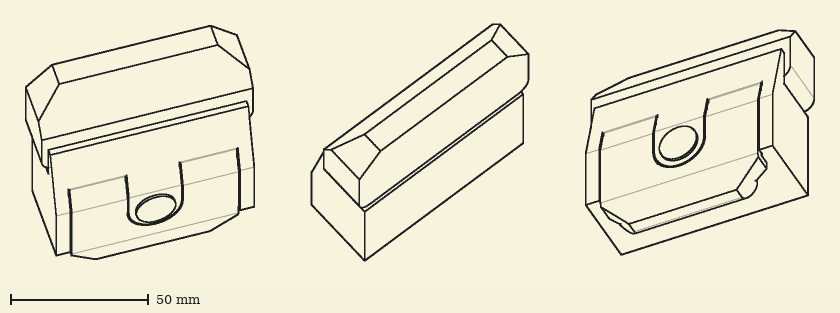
import cadquery as cq

total_height = 89.0

head_width = 80.0
head_depth = 20.2
head_height = 35.0
head_top_depth = 9.0
head_bevel_drop = 16.0
head_corner_chamfer = 10.0
head_corner_radius = 5.0

body_width = 75.0
body_depth = 30.0
body_bottom = 12.9
body_shelf = 51.0
body_top = 65.95
body_top_depth = 22.6
taper_bottom = 38.0

button_radius = 7.5
button_height = 1.0
button_z = 28.0

clearance = 0.5
latch_width = 63.2
latch_recess_front = 27.2
latch_front = 22.5
latch_taper_top = 11.75
latch_bottom_depth = 27.0
latch_corner_chamfer = 10.0
hook_radius = 2.9
tongue_half_width = 10.0


def extrude_profile(points, width):
    """Extrude an XZ outline symmetrically about the plane Y = 0."""
    return cq.Workplane("XZ").polyline(points).close().extrude(width / 2, both=True)


def box_between(x_range, y_range, z_range):
    """Make a box from its limits along the three axes."""
    limits = (x_range, y_range, z_range)
    sizes = [high - low for low, high in limits]
    start = tuple(low for low, high in limits)
    return cq.Workplane("XY").box(*sizes, centered=False).translate(start)


def back_u_shape(half_width):
    """Make a round-bottomed upright shape, concentric with the button, through the recess depth."""
    depth = body_depth - latch_recess_front
    upright = box_between(
        (latch_recess_front, body_depth), (-half_width, half_width), (button_z, body_top)
    )
    round_end = (
        cq.Workplane("YZ", origin=(latch_recess_front, 0, button_z)).circle(half_width).extrude(depth)
    )
    return upright.union(round_end)


def make_head():
    outline = [
        (0, total_height - head_height),
        (0, total_height),
        (head_top_depth, total_height),
        (head_depth, total_height - head_bevel_drop),
        (head_depth, total_height - head_height),
    ]
    half_width = head_width / 2
    corner_z = total_height - head_corner_chamfer
    face = (
        cq.Workplane("YZ")
        .moveTo(-half_width, total_height - head_height)
        .lineTo(half_width, total_height - head_height)
        .lineTo(half_width, corner_z)
        .lineTo(half_width - head_corner_chamfer, total_height)
        .lineTo(head_corner_chamfer - half_width, total_height)
        .lineTo(-half_width, corner_z)
        .close()
        .extrude(head_depth)
    )
    bottom_corners = face.faces("<Z").edges("|X")
    return bottom_corners.fillet(head_corner_radius).intersect(extrude_profile(outline, head_width))


def make_body():
    outline = [
        (0, body_bottom),
        (0, body_shelf),
        (head_depth, body_shelf),
        (head_depth, body_top),
        (body_top_depth, body_top),
        (body_depth, taper_bottom),
        (body_depth, body_bottom),
    ]
    recess_half_width = latch_width / 2 + clearance
    recess = box_between(
        (latch_recess_front, body_depth),
        (-recess_half_width, recess_half_width),
        (body_bottom, body_top),
    ).cut(back_u_shape(tongue_half_width))
    return extrude_profile(outline, body_width).cut(recess)


def make_latch():
    arm_taper_bottom = taper_bottom - clearance
    taper_slope = (body_top - taper_bottom) / (body_depth - body_top_depth)
    arm_top = arm_taper_bottom + taper_slope * (body_depth - latch_recess_front)
    outline = [
        (latch_front, 0),
        (latch_front, body_bottom),
        (latch_recess_front, body_bottom),
        (latch_recess_front, arm_top),
        (body_depth, arm_taper_bottom),
        (body_depth, latch_taper_top),
        (latch_bottom_depth, 0),
    ]
    hook = (
        cq.Workplane("XZ", origin=(latch_front, 0, hook_radius))
        .circle(hook_radius)
        .extrude(latch_width / 2, both=True)
    )
    half_width = latch_width / 2
    bottom_half_width = half_width - latch_corner_chamfer
    envelope = (
        cq.Workplane("YZ")
        .polyline([
            (-bottom_half_width, 0),
            (bottom_half_width, 0),
            (half_width, latch_corner_chamfer),
            (half_width, body_top),
            (-half_width, body_top),
            (-half_width, latch_corner_chamfer),
        ])
        .close()
        .extrude(body_depth)
    )
    latch = extrude_profile(outline, latch_width).union(hook).intersect(envelope)
    return latch.cut(back_u_shape(tongue_half_width + clearance))


def make_button():
    return (
        cq.Workplane("YZ", origin=(body_depth, 0, button_z)).circle(button_radius).extrude(button_height)
    )


result = make_body().union(make_head()).union(make_latch()).union(make_button())